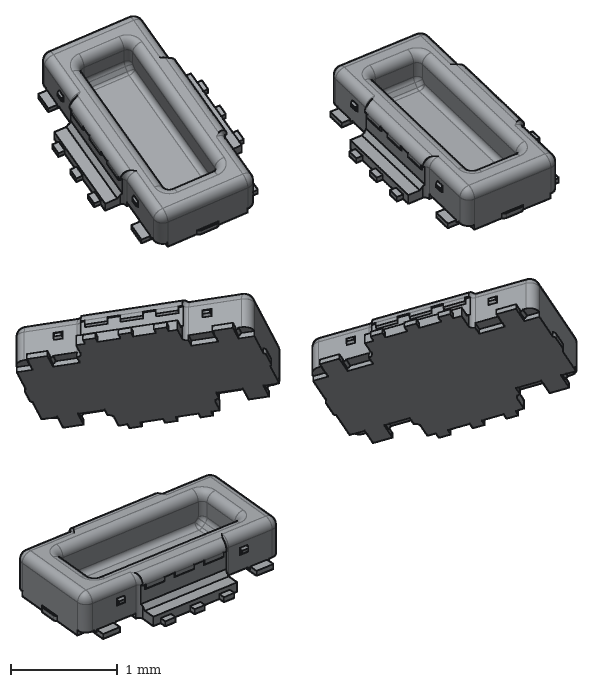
import cadquery as cq
import math

shell_length = 2.312
shell_width = 1.053
height = 0.47
edge_radius = 0.099
skirt_height = 0.056
half_length = shell_length / 2
half_width = shell_width / 2
shoulder_z = height - edge_radius
skirt_y = half_width - edge_radius

bulge_width = 0.987
bulge_y = 0.569
bulge_wall_y = 0.55
bulge_underside_z = 0.367
flare_radius = 0.05
half_bulge = bulge_width / 2
flare_x = half_bulge + flare_radius

shelf_y = 0.73
shelf_height = 0.105
shelf_slope = 0.052

pitch = 0.345
tab_width = 0.22
tab_bottom_z = 0.303
tab_chamfer = bulge_y - bulge_wall_y
pin_width = 0.122
overall_width = 1.6
pin_tip_y = overall_width / 2

leg_x = 0.902
leg_width = 0.2
leg_tip_y = 0.623
gusset = 0.028

nub_x = 0.724
nub_z = 0.27
nub_width = 0.087
nub_height = 0.08
nub_depth = 0.024
nub_bevel = 0.01

foot_length = 2.35
foot_width = 0.258
foot_radius = 0.05

cavity_length = 1.708
cavity_width = 0.545
floor_length = 1.52
floor_z = 0.1
floor_radius = 0.05
ramp_radius = 0.075
cavity_corner_radius = 0.059

selection_margin = 0.002


def box(x_min, x_max, y_min, y_max, z_min, z_max):
    size = (x_max - x_min, y_max - y_min, z_max - z_min)
    return cq.Workplane("XY").box(*size, centered=False).translate((x_min, y_min, z_min))


def extrude_along_x(outline, width):
    """Extrude a YZ outline symmetrically about X = 0."""
    return outline.extrude(width / 2, both=True)


def selection_box(half_x, half_y, z):
    """Select the edges centred at height z within a rectangle about the Z axis."""
    x = half_x + selection_margin
    y = half_y + selection_margin
    return cq.selectors.BoxSelector((-x, -y, z - selection_margin), (x, y, z + selection_margin))


def on_both_sides(solid, plane):
    return solid.union(solid.mirror(plane))


def make_shell():
    shell = cq.Workplane("XY").box(shell_length, shell_width, height, centered=(True, True, False))
    shell = shell.edges("|Z").fillet(edge_radius)
    shell = shell.faces(">Z").edges().fillet(edge_radius)
    for x_min, x_max in ((-half_length, -flare_x), (flare_x, half_length)):
        for y_min, y_max in ((-half_width, -skirt_y), (skirt_y, half_width)):
            shell = shell.cut(box(x_min, x_max, y_min, y_max, 0, skirt_height))
    return shell


def make_flare():
    """Concave blend between the long wall and the +X end of the bulge, following the roof curve."""
    inner = edge_radius
    outer = inner + flare_radius
    arc_offset = flare_radius * (1 - math.sqrt(0.5))
    outline = (
        cq.Workplane("XY")
        .moveTo(half_bulge, 0)
        .lineTo(flare_x, 0)
        .lineTo(flare_x, inner)
        .threePointArc((half_bulge + arc_offset, inner + arc_offset), (half_bulge, outer))
        .close()
    )
    wall_part = outline.extrude(shoulder_z).translate((0, skirt_y, 0))
    roof_part = outline.toPending().revolve(90, (0, 0, 0), (1, 0, 0)).translate((0, skirt_y, shoulder_z))
    return wall_part.union(roof_part)


def make_bulge():
    """Bulge on the +Y side with its flares, undercut wall and wedge tabs."""
    roof_arc_mid = edge_radius * math.sqrt(0.5)
    roof_axis_y = bulge_y - edge_radius
    profile = (
        cq.Workplane("YZ")
        .lineTo(bulge_y, 0)
        .lineTo(bulge_y, shoulder_z)
        .threePointArc((roof_axis_y + roof_arc_mid, shoulder_z + roof_arc_mid), (roof_axis_y, height))
        .lineTo(0, height)
        .close()
    )
    core = box(-half_bulge, half_bulge, 0, bulge_y, 0, height)
    limits = core.union(on_both_sides(make_flare(), "YZ"))
    bulge = extrude_along_x(profile, 2 * flare_x).intersect(limits)

    undercut = box(-flare_x, flare_x, bulge_wall_y, shelf_y, 0, bulge_underside_z)
    undercut = undercut.cut(make_shelf(2 * flare_x))
    return bulge.cut(undercut).union(make_shelf(bulge_width)).union(make_tabs())


def make_shelf(width):
    """Shelf on the +Y side, with a 45 degree slope up to the bulge wall."""
    slope_end_y = bulge_wall_y + shelf_slope
    profile = cq.Workplane("YZ").polyline([
        (0, 0),
        (shelf_y, 0),
        (shelf_y, shelf_height),
        (slope_end_y, shelf_height),
        (bulge_wall_y, shelf_height + shelf_slope),
        (0, shelf_height + shelf_slope),
    ]).close()
    return extrude_along_x(profile, width)


def make_tabs():
    profile = cq.Workplane("YZ").polyline([
        (half_width, tab_bottom_z),
        (bulge_wall_y, tab_bottom_z),
        (bulge_y, tab_bottom_z + tab_chamfer),
        (bulge_y, shoulder_z),
        (half_width, shoulder_z),
    ]).close()
    tab = extrude_along_x(profile, tab_width)
    return tab.translate((-pitch, 0, 0)).union(tab).union(tab.translate((pitch, 0, 0)))


def make_pins():
    pins = cq.Workplane("XY")
    for x in (-pitch, 0, pitch):
        pins = pins.union(box(x - pin_width / 2, x + pin_width / 2, 0, pin_tip_y, 0, skirt_height))
    return pins


def make_leg():
    """Corner leg at +X +Y, with a triangular gusset on each flank under the wall."""
    half_leg = leg_width / 2
    leg = box(leg_x - half_leg, leg_x + half_leg, 0, leg_tip_y, 0, skirt_height)
    gussets = (
        cq.Workplane("XZ")
        .polyline([
            (leg_x - half_leg - gusset, skirt_height),
            (leg_x + half_leg + gusset, skirt_height),
            (leg_x + half_leg, skirt_height - gusset),
            (leg_x - half_leg, skirt_height - gusset),
        ])
        .close()
        .extrude(-half_width)
    )
    return leg.union(gussets)


def make_nub():
    """Latch nub at +X +Y: sloped above and below, bevelled at the sides."""
    tip_y = half_width + nub_depth
    half_height = nub_height / 2
    half_nub = nub_width / 2
    side = cq.Workplane("YZ").polyline([
        (skirt_y, nub_z - half_height),
        (half_width, nub_z - half_height),
        (tip_y, nub_z - half_height + nub_depth),
        (tip_y, nub_z + half_height - nub_depth),
        (half_width, nub_z + half_height),
        (skirt_y, nub_z + half_height),
    ]).close()
    plan = cq.Workplane("XY").polyline([
        (-half_nub, skirt_y),
        (half_nub, skirt_y),
        (half_nub, tip_y - nub_bevel),
        (half_nub - nub_bevel, tip_y),
        (nub_bevel - half_nub, tip_y),
        (-half_nub, tip_y - nub_bevel),
    ]).close()
    nub = extrude_along_x(side, nub_width).intersect(plan.extrude(height))
    return nub.translate((nub_x, 0, 0))


def make_feet():
    feet = cq.Workplane("XY").box(foot_length, foot_width, skirt_height, centered=(True, True, False))
    return feet.edges("|Z").fillet(foot_radius)


def make_cavity():
    """Pocket with a 45 degree ramp at each end of its floor and rounded inner edges."""
    half_cavity = cavity_length / 2
    ramp_foot_x = floor_length / 2 + floor_radius * math.tan(math.pi / 8)
    ramp_rise = half_cavity - ramp_foot_x
    ramp_top_z = floor_z + ramp_rise
    cavity = (
        cq.Workplane("XZ")
        .polyline([
            (-half_cavity, height),
            (-half_cavity, ramp_top_z),
            (-ramp_foot_x, floor_z),
            (ramp_foot_x, floor_z),
            (half_cavity, ramp_top_z),
            (half_cavity, height),
        ])
        .close()
        .extrude(cavity_width / 2, both=True)
    )
    cavity = cavity.edges("|Y and <Z").fillet(floor_radius)
    cavity = cavity.edges(selection_box(half_cavity, selection_margin, ramp_top_z)).fillet(ramp_radius)
    return cavity.faces("<Y or >Y").edges("not >Z").fillet(cavity_corner_radius)


body = make_shell()
side_features = make_bulge().union(make_pins())
side_features = side_features.union(on_both_sides(make_leg().union(make_nub()), "YZ"))
body = body.union(on_both_sides(side_features, "XZ")).union(make_feet())
body = body.cut(make_cavity())
rim = selection_box(cavity_length / 2, cavity_width / 2, height)
result = body.edges(rim).fillet(edge_radius)